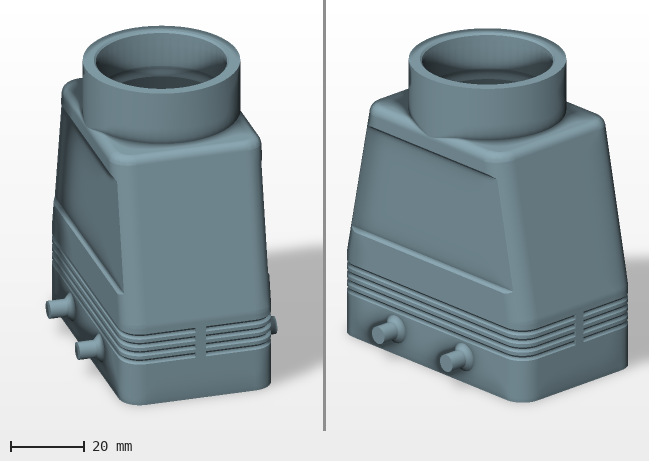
import cadquery as cq

total_height = 85.0
base_length = 73.0
base_width = 43.0
corner_radius = 5.95

shoulder_height = 23.5
roof_height = 69.95
roof_length = 54.0
shoulder_radius = 5.95
roof_edge_radius = 2.55

collar_radius = 21.4
bore_radius = 17.85
bore_chamfer = 0.5
bore_depth = 10.4
relief_radius = 18.0
relief_depth = 11.1
throat_radius = 16.75
throat_start_depth = 13.0

roof_thickness = 4.1
ceiling_height = roof_height - roof_thickness
side_wall = 3.4
cavity_length = 48.45

panel_depth = 1.0
panel_bottom = 31.0
panel_top = 64.1

groove_count = 4
groove_width = 1.5
lowest_groove_height = 13.0
highest_groove_height = 20.5
groove_gap = 3.0

pin_spacing = 27.0
pin_height = 7.5
pin_radius = 2.5
pin_span = 56.0
pin_foot_radius = 4.0


def make_outer_body():
    """Straight skirt and leaning upper body, with all outer edges rounded."""
    half_base = base_length / 2
    half_roof = roof_length / 2
    outline = [
        (-half_base, 0),
        (half_base, 0),
        (half_base, shoulder_height),
        (half_roof, roof_height),
        (-half_roof, roof_height),
        (-half_base, shoulder_height),
    ]
    body = cq.Workplane("XZ").polyline(outline).close().extrude(base_width / 2, both=True)
    body = body.edges("|Y").edges(">>Z[1]").fillet(shoulder_radius)
    body = body.faces("<Y or >Y").edges("not |X").fillet(corner_radius)
    return body.faces(">Z").edges().fillet(roof_edge_radius)


def make_side_panel():
    """Cutter for the panel on the +Y side, with 45 degree top and bottom slopes."""
    wall = base_width / 2
    floor = wall - panel_depth
    section = [
        (wall, panel_bottom),
        (floor, panel_bottom + panel_depth),
        (floor, panel_top - panel_depth),
        (wall, panel_top),
    ]
    return cq.Workplane("YZ").polyline(section).close().extrude(base_length / 2, both=True)


def skirt_section(height):
    """Rounded rectangle of the skirt on a horizontal plane."""
    sketch = cq.Sketch().rect(base_length, base_width).vertices().fillet(corner_radius)
    return cq.Workplane("XY", origin=(0, 0, height)).placeSketch(sketch)


def make_groove(middle_height):
    """Cutter for one V groove with 45 degree flanks, interrupted on the end faces."""
    half_width = groove_width / 2
    bottom = middle_height - half_width
    ring = skirt_section(bottom).extrude(groove_width)
    lower_core = skirt_section(bottom).extrude(half_width, taper=45)
    upper_core = lower_core.mirror("XY", (0, 0, middle_height))
    bridge = cq.Workplane("XY", origin=(0, 0, middle_height)).box(
        base_length, groove_gap, groove_width
    )
    return ring.cut(lower_core).cut(upper_core).cut(bridge)


def make_collar():
    """Plain cylinder that runs down through the roof."""
    plane = cq.Workplane("XY", origin=(0, 0, ceiling_height))
    return plane.circle(collar_radius).extrude(total_height - ceiling_height)


def make_entry_bore():
    """Chamfered bore with a flared foot that curves in to the throat above the cavity."""
    bore_end = total_height - bore_depth
    relief_end = total_height - relief_depth
    throat_start = total_height - throat_start_depth
    return (
        cq.Workplane("XZ")
        .moveTo(0, total_height)
        .lineTo(bore_radius + bore_chamfer, total_height)
        .lineTo(bore_radius, total_height - bore_chamfer)
        .lineTo(bore_radius, bore_end)
        .lineTo(relief_radius, relief_end)
        .tangentArcPoint((throat_radius, throat_start), relative=False)
        .lineTo(throat_radius, ceiling_height)
        .lineTo(0, ceiling_height)
        .close()
        .revolve(360, (0, 0, 0), (0, 1, 0))
    )


def make_pin():
    """Locking pin on the +Y side with a conical foot, starting inside the wall."""
    wall = base_width / 2
    tip = pin_span / 2
    root = wall - side_wall / 2
    foot_end = wall + pin_foot_radius - pin_radius
    profile = [
        (0, root),
        (pin_foot_radius, root),
        (pin_foot_radius, wall),
        (pin_radius, foot_end),
        (pin_radius, tip),
        (0, tip),
    ]
    return cq.Workplane("XY").polyline(profile).close().revolve(360, (0, 0, 0), (0, 1, 0))


hood = make_outer_body()

panel = make_side_panel()
hood = hood.cut(panel).cut(panel.mirror("XZ"))

groove_pitch = (highest_groove_height - lowest_groove_height) / (groove_count - 1)
for index in range(groove_count):
    hood = hood.cut(make_groove(lowest_groove_height + index * groove_pitch))

hood = hood.union(make_collar())

cavity_width = base_width - 2 * side_wall
cavity = cq.Workplane("XY").rect(cavity_length, cavity_width).extrude(ceiling_height)
hood = hood.cut(cavity).cut(make_entry_bore())

pin = make_pin()
for pin_x in (-pin_spacing / 2, pin_spacing / 2):
    placed_pin = pin.translate((pin_x, 0, pin_height))
    hood = hood.union(placed_pin).union(placed_pin.mirror("XZ"))

result = hood